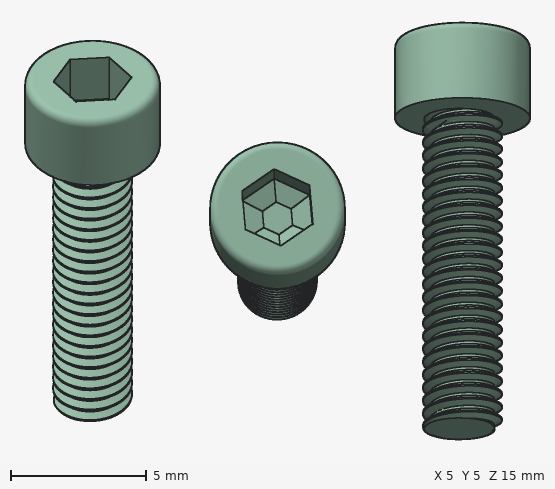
import cadquery as cq
import math

total_length = 15.0
head_diameter = 5.0
head_height = 3.0
head_edge_radius = 0.3
shank_length = total_length - head_height

thread_diameter = 2.92
core_diameter = 2.35
turns = 24
pitch = shank_length / turns
crest_width = pitch / 8
lead_in_turns = 2
extra_turns = 3
flank_half_angle = math.radians(30)
first_crest_height = 0.16
core_overlap = 0.03

socket_flats = 2.5
floor_flats = 1.06
socket_depth = 1.95
taper_depth = 0.25


def hexagon(across_flats, height):
    """Hexagonal outline at the given height with corners on the Y axis."""
    across_corners = across_flats / math.cos(math.radians(30))
    return (
        cq.Workplane("XY")
        .workplane(offset=height)
        .transformed(rotate=(0, 0, 90))
        .polygon(6, across_corners)
    )


def make_head():
    """Cylindrical head with a rounded top edge."""
    return (
        cq.Workplane("XY")
        .workplane(offset=shank_length)
        .circle(head_diameter / 2)
        .extrude(head_height)
        .faces(">Z")
        .edges()
        .fillet(head_edge_radius)
    )


def make_socket():
    """Solid to remove from the head for the hexagonal key."""
    straight = hexagon(socket_flats, total_length - socket_depth).extrude(socket_depth)
    taper_angle = math.degrees(math.atan((socket_flats - floor_flats) / 2 / taper_depth))
    taper = hexagon(socket_flats, total_length - socket_depth).extrude(-taper_depth, taper=taper_angle)
    return straight.union(taper)


def make_ridge():
    """Helical ridge that runs past both ends of the shank."""
    core_radius = core_diameter / 2
    thread_radius = thread_diameter / 2
    inner_radius = core_radius - core_overlap
    half_crest = crest_width / 2
    half_base = half_crest + (thread_radius - inner_radius) * math.tan(flank_half_angle)
    ridge_length = shank_length + extra_turns * pitch
    start = first_crest_height - lead_in_turns * pitch
    corners = [
        (inner_radius, start - half_base),
        (thread_radius, start - half_crest),
        (thread_radius, start + half_crest),
        (inner_radius, start + half_base),
    ]
    helices = [
        cq.Wire.makeHelix(pitch, ridge_length, radius, cq.Vector(0, 0, height))
        for radius, height in corners
    ]
    sides = [
        cq.Face.makeRuledSurface(helices[i - 1], helices[i])
        for i in range(len(helices))
    ]
    ends = []
    for rise in (0, ridge_length):
        points = [cq.Vector(radius, 0, height + rise) for radius, height in corners]
        ends.append(cq.Face.makeFromWires(cq.Wire.makePolygon(points, close=True)))
    shell = cq.Shell.makeShell(sides + ends)
    return cq.Workplane(obj=cq.Solid.makeSolid(shell))


def make_shank():
    """Threaded shank cut square at the tip and under the head."""
    core = cq.Workplane("XY").circle(core_diameter / 2).extrude(shank_length)
    envelope = cq.Workplane("XY").circle(head_diameter / 2).extrude(shank_length)
    return core.union(make_ridge().intersect(envelope))


result = make_shank().union(make_head().cut(make_socket()))